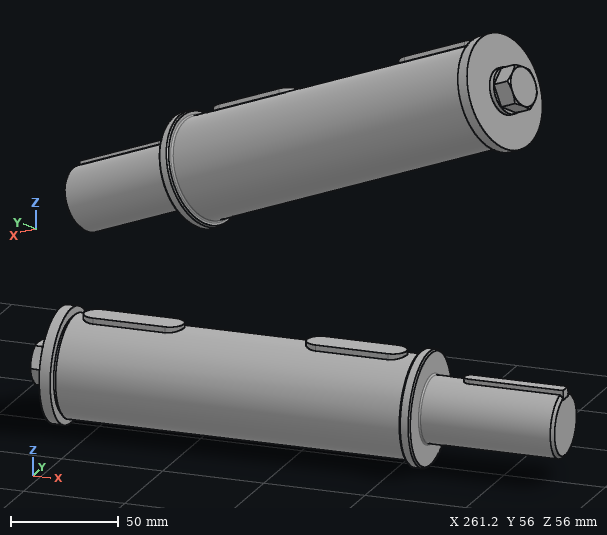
import cadquery as cq
import math

total_length = 261.2
head_height = 9.0
lock_washer_thickness = 2.4
end_disc_thickness = 5.5
lock_washer_start = head_height
end_disc_start = lock_washer_start + lock_washer_thickness
shaft_start = end_disc_start + end_disc_thickness

collar_diameter = 56.0
body_diameter = 50.0
journal_diameter = 32.1
collar_start = 189.1
collar_thickness = 5.5
collar_end = collar_start + collar_thickness
shaft_chamfer = 1.5
collar_chamfer = 0.8
root_fillet = 0.8

hex_across_flats = 19.0
hex_across_corners = hex_across_flats / math.cos(math.radians(30))
head_chamfer_angle = 30.0
bolt_diameter = 12.0
bolt_length = 31.3
bolt_end = lock_washer_start + bolt_length
lock_washer_diameter = 22.5
lock_washer_gap = 2.4

body_key_length = 49.5
body_key_width = 13.5
body_key_top = 27.0
body_key_height = 9.0
body_key_starts = [23.0, 133.2]

journal_key_start = 211.0
journal_key_width = 6.8
journal_key_top = 18.0
journal_key_height = 4.7


def cylinder(diameter, start, end):
    """Solid cylinder on the X axis."""
    return cq.Workplane("YZ", origin=(start, 0, 0)).circle(diameter / 2).extrude(end - start)


def make_body_key(start):
    middle = start + body_key_length / 2
    return (
        cq.Workplane("XY", origin=(middle, 0, body_key_top))
        .slot2D(body_key_length, body_key_width)
        .extrude(-body_key_height)
    )


def make_journal_key():
    half_width = journal_key_width / 2
    arc_end = journal_key_start + half_width
    return (
        cq.Workplane("XY", origin=(0, 0, journal_key_top))
        .moveTo(total_length, -half_width)
        .lineTo(arc_end, -half_width)
        .threePointArc((journal_key_start, 0), (arc_end, half_width))
        .lineTo(total_length, half_width)
        .close()
        .extrude(-journal_key_height)
    )


def make_shaft(fitted_parts):
    """Turned shaft, with a seat cut for each fitted part."""
    body_radius = body_diameter / 2
    journal_radius = journal_diameter / 2
    collar_radius = collar_diameter / 2
    fillet_inset = root_fillet * (1 - math.sqrt(0.5))
    shaft = (
        cq.Workplane("XZ")
        .moveTo(shaft_start, 0)
        .lineTo(shaft_start, body_radius - shaft_chamfer)
        .lineTo(shaft_start + shaft_chamfer, body_radius)
        .lineTo(collar_start - root_fillet, body_radius)
        .threePointArc(
            (collar_start - fillet_inset, body_radius + fillet_inset),
            (collar_start, body_radius + root_fillet),
        )
        .lineTo(collar_start, collar_radius - collar_chamfer)
        .lineTo(collar_start + collar_chamfer, collar_radius)
        .lineTo(collar_end - collar_chamfer, collar_radius)
        .lineTo(collar_end, collar_radius - collar_chamfer)
        .lineTo(collar_end, journal_radius + root_fillet)
        .threePointArc(
            (collar_end + fillet_inset, journal_radius + fillet_inset),
            (collar_end + root_fillet, journal_radius),
        )
        .lineTo(total_length - shaft_chamfer, journal_radius)
        .lineTo(total_length, journal_radius - shaft_chamfer)
        .lineTo(total_length, 0)
        .close()
        .revolve(360, (0, 0, 0), (1, 0, 0))
    )
    for fitted_part in fitted_parts:
        shaft = shaft.cut(fitted_part)
    return shaft


def make_bolt():
    """Hexagon bolt, its head turned so that two flats face up and down."""
    head = cq.Workplane("YZ").polygon(6, hex_across_corners).extrude(head_height)
    flats_radius = hex_across_flats / 2
    cone_radius = flats_radius + head_height / math.tan(math.radians(head_chamfer_angle))
    corner_cone = (
        cq.Workplane("XZ")
        .polyline([(0, 0), (0, flats_radius), (head_height, cone_radius), (head_height, 0)])
        .close()
        .revolve(360, (0, 0, 0), (1, 0, 0))
    )
    shank = cylinder(bolt_diameter, head_height, bolt_end)
    return head.intersect(corner_cone).union(shank)


def make_lock_washer(bolt):
    """Ring around the bolt, split at the top."""
    ring = cylinder(lock_washer_diameter, lock_washer_start, end_disc_start).cut(bolt)
    split = cq.Workplane("XY").box(
        lock_washer_thickness, lock_washer_gap, lock_washer_diameter, centered=(False, True, False)
    )
    return ring.cut(split.translate((lock_washer_start, 0, 0)))


def make_end_disc(bolt):
    return cylinder(collar_diameter, end_disc_start, shaft_start).cut(bolt)


bolt = make_bolt()
lock_washer = make_lock_washer(bolt)
end_disc = make_end_disc(bolt)
body_keys = [make_body_key(start) for start in body_key_starts]
journal_key = make_journal_key()
shaft = make_shaft([bolt, journal_key, *body_keys])

result = cq.Compound.makeCompound([
    shaft.val(),
    end_disc.val(),
    lock_washer.val(),
    bolt.val(),
    journal_key.val(),
    *[key.val() for key in body_keys],
])